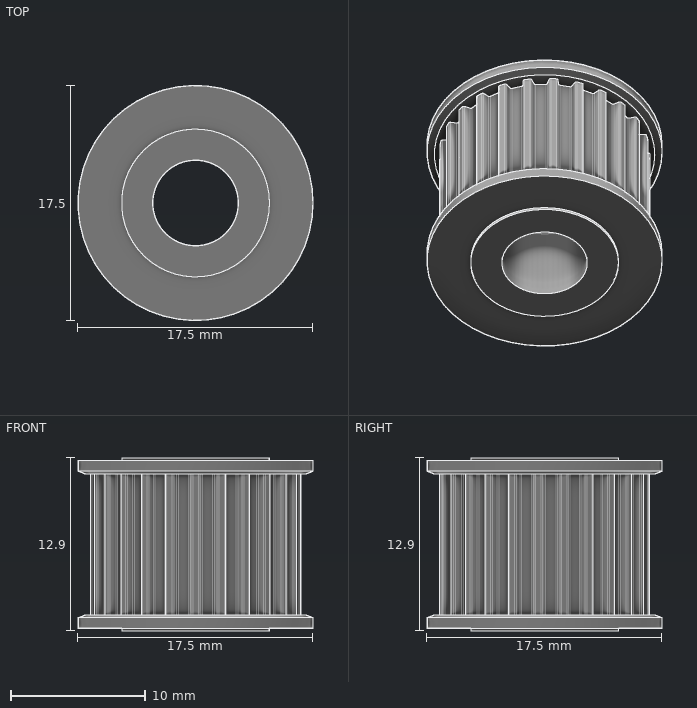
import cadquery as cq
import math


TOTAL_HEIGHT = 12.9
BORE_DIAMETER = 6.35

HUB_DIAMETER = 11.0
HUB_PROJECTION = 0.2

FLANGE_DIAMETER = 17.5
FLANGE_THICKNESS = 1.02
BEVEL_HEIGHT = 0.22
BEVEL_WIDTH = 0.55

TOOTH_COUNT = 25
TIP_DIAMETER = 15.67
GROOVE_DEPTH = 0.63
GROOVE_FLOOR_HALF_WIDTH = 0.465
GROOVE_FLANK_ANGLE = 20.0
EDGE_RADIUS = 0.125
FIRST_TOOTH_ANGLE = -90.0

TOOTH_PITCH_ANGLE = 360.0 / TOOTH_COUNT
TIP_RADIUS = TIP_DIAMETER / 2
FLOOR_RADIUS = TIP_RADIUS - GROOVE_DEPTH
FLANGE_TOP = TOTAL_HEIGHT / 2 - HUB_PROJECTION
FLANGE_INNER_FACE = FLANGE_TOP - FLANGE_THICKNESS
BELT_WIDTH = 2 * FLANGE_INNER_FACE


def polar(radius, angle):
    """Point in XY at a radius and an angle in degrees."""
    return radius * math.cos(math.radians(angle)), radius * math.sin(math.radians(angle))


def flank_tip_angle():
    """Angle between a groove's centre line and the point where its flank meets the tip circle."""
    slope = math.tan(math.radians(GROOVE_FLANK_ANGLE))
    offset = GROOVE_FLOOR_HALF_WIDTH - slope * FLOOR_RADIUS
    quadratic = 1 + slope**2
    root = math.sqrt(quadratic * TIP_RADIUS**2 - offset**2)
    along = (root - slope * offset) / quadratic
    return math.degrees(math.atan2(offset + slope * along, along))


def toothed_body():
    """Toothed drum between the flanges, with every tooth tip and groove corner rounded."""
    tip_angle = flank_tip_angle()
    floor_angle = math.degrees(math.atan2(GROOVE_FLOOR_HALF_WIDTH, FLOOR_RADIUS))
    floor_corner_radius = math.hypot(GROOVE_FLOOR_HALF_WIDTH, FLOOR_RADIUS)

    first_groove = FIRST_TOOTH_ANGLE + TOOTH_PITCH_ANGLE / 2
    outline = cq.Workplane("XY").workplane(offset=-FLANGE_INNER_FACE)
    outline = outline.moveTo(*polar(TIP_RADIUS, first_groove - tip_angle))
    for index in range(TOOTH_COUNT):
        groove = first_groove + index * TOOTH_PITCH_ANGLE
        next_tooth = groove + TOOTH_PITCH_ANGLE / 2
        next_groove = groove + TOOTH_PITCH_ANGLE
        outline = (
            outline.lineTo(*polar(floor_corner_radius, groove - floor_angle))
            .lineTo(*polar(floor_corner_radius, groove + floor_angle))
            .lineTo(*polar(TIP_RADIUS, groove + tip_angle))
            .threePointArc(polar(TIP_RADIUS, next_tooth), polar(TIP_RADIUS, next_groove - tip_angle))
        )
    return outline.close().extrude(BELT_WIDTH).edges("|Z").fillet(EDGE_RADIUS)


def flange_and_hub():
    """Upper flange with its bevel underneath and the hub face on top."""
    flange_radius = FLANGE_DIAMETER / 2
    hub_radius = HUB_DIAMETER / 2
    half_section = (
        cq.Workplane("XZ")
        .moveTo(0, FLANGE_INNER_FACE)
        .lineTo(flange_radius - BEVEL_WIDTH, FLANGE_INNER_FACE)
        .lineTo(flange_radius, FLANGE_INNER_FACE + BEVEL_HEIGHT)
        .lineTo(flange_radius, FLANGE_TOP)
        .lineTo(hub_radius, FLANGE_TOP)
        .lineTo(hub_radius, TOTAL_HEIGHT / 2)
        .lineTo(0, TOTAL_HEIGHT / 2)
        .close()
    )
    return half_section.revolve(360, (0, 0, 0), (0, 1, 0))


def bore():
    """Through hole along the axis."""
    return cq.Workplane("XY").circle(BORE_DIAMETER / 2).extrude(TOTAL_HEIGHT / 2, both=True)


upper_flange = flange_and_hub()
lower_flange = upper_flange.mirror("XY")
result = toothed_body().union(upper_flange).union(lower_flange).cut(bore())